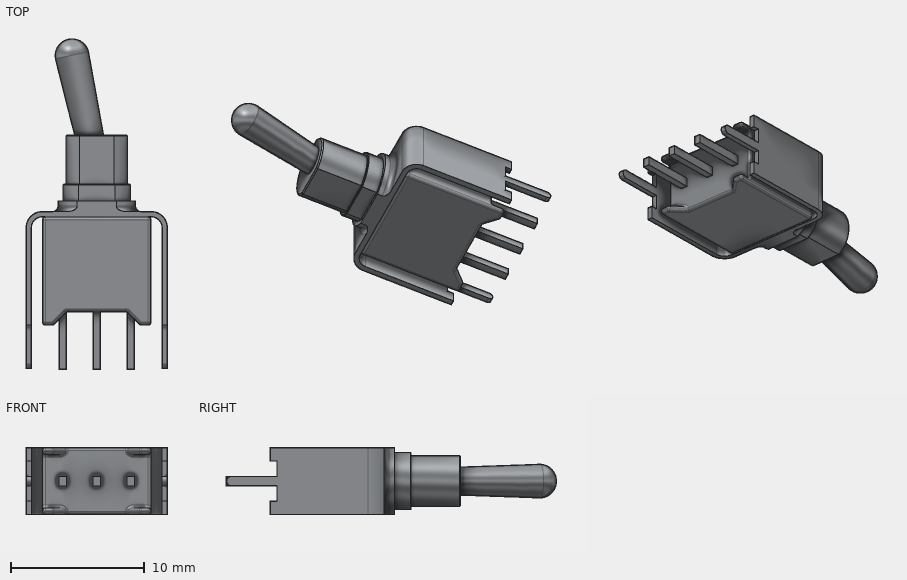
import cadquery as cq
import math

overall_length = 24.71
terminal_reach = 11.8
tip_y = overall_length - terminal_reach

bracket_width = 10.56
bracket_depth = 5.0
sheet = 0.4
bend_radius = 1.2
leg_reach = 8.5
leg_notch_depth = 0.5
leg_tooth = 1.0
leg_pin_height = 0.7
leg_pin_reach = 11.75

body_width = 8.1
floor_reach = 7.5
foot_reach = leg_reach
foot_thickness = 0.5
foot_end_width = 0.8
edge_round = 0.23

terminal_pitch = 2.54
terminal_width = 0.54
terminal_height = 0.7
terminal_root = 1.0

collar_radius = 2.9
collar_top = 0.8
collar_fillet = 0.4

ring_radius = 2.53
ring_flats = 4.28
ring_top = 2.05
ring_chamfer = 0.06
sleeve_radius = 2.3
sleeve_flats = 3.82
sleeve_top = 5.74
sleeve_chamfer = 0.1

ball_radius = 1.27
lever_tilt = 12.2
lever_taper = 1.95
lever_pivot_y = 3.1


def box(x_range, y_range, z_range):
    """Box between the given lower and upper limits."""
    size = [high - low for low, high in (x_range, y_range, z_range)]
    corner = (x_range[0], y_range[0], z_range[0])
    return cq.Workplane("XY").box(*size, centered=False).translate(corner)


def make_bracket():
    half_width = bracket_width / 2
    half_depth = bracket_depth / 2
    inner_half = half_width - sheet
    outer = box((-half_width, half_width), (-leg_reach, 0), (-half_depth, half_depth))
    outer = outer.edges("|Z and >Y").fillet(bend_radius)
    inner = box((-inner_half, inner_half), (-leg_reach, -sheet), (-half_depth, half_depth))
    inner = inner.edges("|Z and >Y").fillet(bend_radius - sheet)
    bracket = outer.cut(inner)

    notch_half = half_depth - leg_tooth
    notch_y = leg_notch_depth - leg_reach
    bracket = bracket.cut(
        box((-half_width, half_width), (-leg_reach, notch_y), (-notch_half, notch_half))
    )
    pin_half = leg_pin_height / 2
    for left in (-half_width, inner_half):
        pin = (
            cq.Workplane("YZ", origin=(left, 0, 0))
            .moveTo(notch_y, -pin_half)
            .lineTo(pin_half - leg_pin_reach, -pin_half)
            .threePointArc((-leg_pin_reach, 0), (pin_half - leg_pin_reach, pin_half))
            .lineTo(notch_y, pin_half)
            .close()
            .extrude(sheet)
        )
        bracket = bracket.union(pin)
    return bracket


def make_collar():
    """Flared collar, trimmed to the depth of the bracket."""
    flare_radius = collar_radius + collar_fillet
    flare_mid = math.sqrt(0.5) * collar_fillet
    collar = (
        cq.Workplane("XY")
        .moveTo(0, -sheet)
        .lineTo(flare_radius, -sheet)
        .lineTo(flare_radius, 0)
        .threePointArc(
            (flare_radius - flare_mid, collar_fillet - flare_mid),
            (collar_radius, collar_fillet),
        )
        .lineTo(collar_radius, collar_top)
        .lineTo(0, collar_top)
        .close()
        .revolve(360, (0, 0, 0), (0, 1, 0))
    )
    half_depth = bracket_depth / 2
    trim = box(
        (-flare_radius, flare_radius), (-sheet, collar_top), (-half_depth, half_depth)
    )
    return collar.intersect(trim)


def make_flatted_stud(radius, flats, top, chamfer):
    """Cylinder from Y = 0 with flats facing +Z and -Z and a chamfered end."""
    half_flats = flats / 2
    stud = cq.Workplane("XZ").circle(radius).extrude(-top)
    stud = stud.intersect(box((-radius, radius), (0, top), (-half_flats, half_flats)))
    return stud.faces(">Y").chamfer(chamfer)


def make_lever():
    """Tapered lever with a ball end, tilted towards -X."""
    tilt = math.radians(lever_tilt)
    taper = math.radians(lever_taper)
    length = (tip_y - ball_radius - lever_pivot_y) / math.cos(tilt)
    seam_radius = ball_radius * math.cos(taper)
    seam_y = length + ball_radius * math.sin(taper)
    root_radius = seam_radius - seam_y * math.tan(taper)
    mid_angle = (taper + math.pi / 2) / 2
    arc_mid = (
        ball_radius * math.cos(mid_angle),
        length + ball_radius * math.sin(mid_angle),
    )
    lever = (
        cq.Workplane("XY")
        .lineTo(root_radius, 0)
        .lineTo(seam_radius, seam_y)
        .threePointArc(arc_mid, (0, length + ball_radius))
        .close()
        .revolve(360, (0, 0, 0), (0, 1, 0))
    )
    return lever.rotate((0, 0, 0), (0, 0, 1), lever_tilt).translate((0, lever_pivot_y, 0))


def make_body():
    """Block with four slope-sided feet, rounded all over."""
    half_width = body_width / 2
    half_depth = bracket_depth / 2
    body = box((-half_width, half_width), (-floor_reach, -sheet), (-half_depth, half_depth))
    slope_run = foot_reach - floor_reach
    foot = (
        cq.Workplane("XY", origin=(0, 0, half_depth - foot_thickness))
        .moveTo(half_width, -floor_reach)
        .lineTo(half_width, -foot_reach)
        .lineTo(half_width - foot_end_width, -foot_reach)
        .lineTo(half_width - foot_end_width - slope_run, -floor_reach)
        .close()
        .extrude(foot_thickness)
    )
    feet = foot.union(foot.mirror("YZ"))
    feet = feet.union(feet.mirror("XY"))
    return body.union(feet).edges().fillet(edge_round)


def make_terminals():
    half_width = terminal_width / 2
    half_height = terminal_height / 2
    terminals = cq.Workplane("XY")
    for x in (-terminal_pitch, 0, terminal_pitch):
        terminals = terminals.union(
            box(
                (x - half_width, x + half_width),
                (-terminal_reach, terminal_root - floor_reach),
                (-half_height, half_height),
            )
        )
    return terminals


ring = make_flatted_stud(ring_radius, ring_flats, ring_top, ring_chamfer)
sleeve = make_flatted_stud(sleeve_radius, sleeve_flats, sleeve_top, sleeve_chamfer)
result = make_bracket().union(make_body())
for piece in (make_collar(), ring, sleeve, make_lever(), make_terminals()):
    result = result.union(piece)